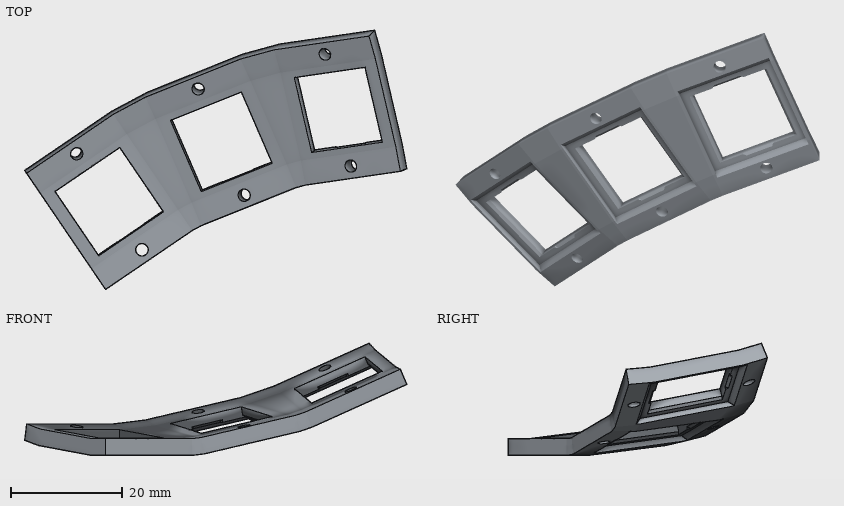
import cadquery as cq
import math

key_count = 3
plate_width = 18.85
middle_length = 16.5
flap_length = 4.5
thickness = 3.0
flap_angle = 6.0

opening = 14.0
rim_thickness = 2.0
chamfer = 0.5
notch_width = 6.0

side_wall = 0.5
recess_width = plate_width - 2 * side_wall

screw_diameter = 2.2

arc_radius = 75.8
arc_tilt = 38.4
arc_step = 17.4
first_key_yaw = 34.2
first_key_roll = flap_angle
first_key_x = 15.05
first_key_y = 15.75
first_key_z = thickness + middle_length / 2 * math.sin(math.radians(first_key_roll))

overshoot = 2 * thickness


def key_location(index):
    """Placement of a key plate: the first one, carried round the arc axis."""
    x_axis = cq.Vector(1, 0, 0)
    z_axis = cq.Vector(0, 0, 1)
    first_position = cq.Location(cq.Vector(first_key_x, first_key_y, first_key_z))
    first_yaw = cq.Location(cq.Vector(), z_axis, first_key_yaw)
    first_roll = cq.Location(cq.Vector(), x_axis, first_key_roll)

    tilt = math.radians(arc_tilt)
    arc_axis = cq.Vector(0, -math.cos(tilt), -math.sin(tilt))
    arc_centre = cq.Vector(0, -math.sin(tilt), math.cos(tilt)) * arc_radius
    turn = cq.Location(cq.Vector(), arc_axis, index * arc_step)
    around_arc = cq.Location(arc_centre) * turn * cq.Location(-arc_centre)
    return first_position * first_yaw * first_roll * around_arc


def flap_point(along, below):
    """Point (y, z) of the back flap, measured outwards from the bend and down from its top face."""
    angle = math.radians(flap_angle)
    y = middle_length / 2 + along * math.cos(angle) + below * math.sin(angle)
    z = along * math.sin(angle) - below * math.cos(angle)
    return y, z


def plate_profile():
    """Bent cross-section of a plate as (y, z) points; the top of the middle is at z = 0."""
    bend_shift = thickness * math.tan(math.radians(flap_angle / 2))
    back_half = [
        (middle_length / 2, 0),
        flap_point(flap_length, 0),
        flap_point(flap_length, thickness),
        (middle_length / 2 + bend_shift, -thickness),
    ]
    front_half = [(-y, z) for y, z in reversed(back_half)]
    return back_half + front_half


def end_outline(location, side):
    """Outline of one end of a placed plate; side is -1 or 1 along the plate's x."""
    points = [cq.Vector(side * plate_width / 2, y, z) for y, z in plate_profile()]
    return cq.Wire.makePolygon(points, close=True).moved(location)


def block_between(outline_a, outline_b):
    """Straight-sided block joining two end outlines."""
    return cq.Solid.makeLoft([outline_a, outline_b], True)


def tapered_block(top_size, bottom_size, top_z, bottom_z):
    """Block whose rectangular section changes evenly from top to bottom."""
    return (
        cq.Workplane("XY", origin=(0, 0, top_z))
        .rect(*top_size)
        .workplane(offset=bottom_z - top_z)
        .rect(*bottom_size)
        .loft(ruled=True)
        .val()
    )


def opening_cuts():
    """Square hole, with its lower left and right edges chamfered over their full length."""
    hole = cq.Workplane("XY").box(opening, opening, 2 * overshoot).val()
    chamfer_top = chamfer - rim_thickness
    chamfers = tapered_block(
        (opening, opening), (opening + 2 * chamfer, opening), chamfer_top, -rim_thickness
    )
    return [hole, chamfers]


def notch_cut(side):
    """Clip notch under the front (-1) or back (1) rim: 45 degree ceiling and splayed ends."""
    inner_y = side * opening / 2
    outer_y = side * (opening / 2 + chamfer)
    half_width = notch_width / 2
    plan = [
        (-half_width, inner_y),
        (half_width, inner_y),
        (half_width - chamfer, outer_y),
        (chamfer - half_width, outer_y),
    ]
    block = cq.Workplane("XY", origin=(0, 0, -rim_thickness)).polyline(plan).close().extrude(chamfer)
    section = [
        (inner_y, -rim_thickness),
        (inner_y, chamfer - rim_thickness),
        (outer_y, -rim_thickness),
    ]
    wedge = (
        cq.Workplane("YZ", origin=(-half_width, 0, 0)).polyline(section).close().extrude(notch_width)
    )
    return block.intersect(wedge).val()


def recess_cut():
    """Underside recess, from the rim down; its ends start at the bends and run into the flaps."""
    depth = overshoot - rim_thickness
    return tapered_block(
        (recess_width, middle_length),
        (recess_width, middle_length + 2 * depth),
        -rim_thickness,
        -overshoot,
    )


def screw_cut(side):
    """Screw hole square to the front (-1) or back (1) flap."""
    angle = math.radians(flap_angle)
    y, z = flap_point(flap_length / 2, 0)
    direction = cq.Vector(0, -side * math.sin(angle), math.cos(angle))
    start = cq.Vector(0, side * y, z) - direction * overshoot
    return cq.Solid.makeCylinder(screw_diameter / 2, 2 * overshoot, start, direction)


def key_cuts():
    """Everything removed from one key plate, in the plate's own axes."""
    cuts = opening_cuts() + [recess_cut()]
    for side in (-1, 1):
        cuts.append(notch_cut(side))
        cuts.append(screw_cut(side))
    return cuts


locations = [key_location(index) for index in range(key_count)]
outlines = [end_outline(location, side) for location in locations for side in (-1, 1)]
blocks = [block_between(a, b) for a, b in zip(outlines, outlines[1:])]
body = blocks[0].fuse(*blocks[1:])

for location in locations:
    body = body.cut(*[cut.moved(location) for cut in key_cuts()])

result = cq.Workplane("XY").newObject([body.Solids()[0]])